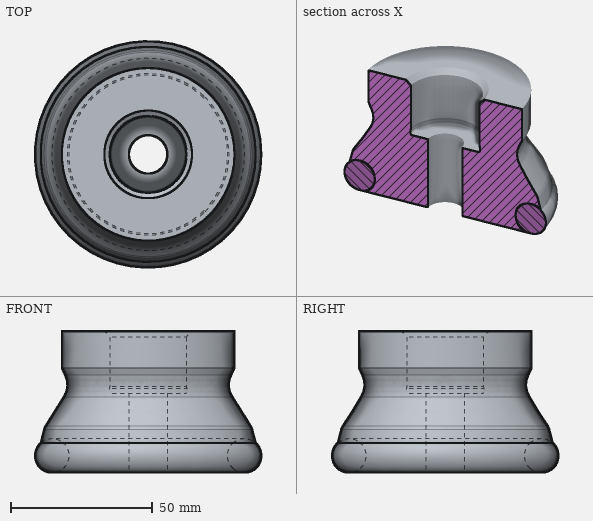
import cadquery as cq
import math

height = 50.0
head_radius = 61.0 / 2

ring_section_radius = 6.0
ring_outer_radius = 80.0 / 2
ring_centre_radius = ring_outer_radius - ring_section_radius
ring_centre_height = ring_section_radius

head_bottom = 37.0
neck_radius = 27.4
neck_height = 30.5
shoulder_radius = 36.55
shoulder_height = 15.9
skirt_angle = 15.0
skirt_drop = shoulder_height - ring_centre_height
skirt_foot_radius = shoulder_radius + skirt_drop * math.tan(math.radians(skirt_angle))

head_fillet = 1.0
neck_fillet = 8.0
shoulder_fillet = 5.0

bore_radius = 27.0 / 2
bore_depth = 22.0
mouth_chamfer = 2.0
relief_radius = 27.5 / 2
relief_width = 2.5
relief_taper_length = 0.75
floor_fillet = 0.75
through_hole_radius = 13.5 / 2


def circle_edge_at(edge_height):
    """Selector for the horizontal circular edge at one height of the profile."""
    margin = 0.01
    reach = ring_outer_radius
    lower_corner = (-reach, -reach, edge_height - margin)
    upper_corner = (reach, reach, edge_height + margin)
    return cq.selectors.BoxSelector(lower_corner, upper_corner)


def make_ring():
    """Round-section ring about the Z axis, resting on the base plane."""
    return (
        cq.Workplane("XZ")
        .center(ring_centre_radius, ring_centre_height)
        .circle(ring_section_radius)
        .revolve(360, (-ring_centre_radius, 0), (-ring_centre_radius, 1))
    )


def make_blank():
    """Turned outside of the housing, with its corners rounded."""
    blank = (
        cq.Workplane("XZ")
        .lineTo(ring_centre_radius, 0)
        .lineTo(ring_centre_radius, ring_centre_height)
        .lineTo(skirt_foot_radius, ring_centre_height)
        .lineTo(shoulder_radius, shoulder_height)
        .lineTo(neck_radius, neck_height)
        .lineTo(head_radius, head_bottom)
        .lineTo(head_radius, height)
        .lineTo(0, height)
        .close()
        .revolve(360, (0, 0), (0, 1))
    )
    rounded_corners = [
        (shoulder_height, shoulder_fillet),
        (neck_height, neck_fillet),
        (head_bottom, head_fillet),
    ]
    for corner_height, radius in rounded_corners:
        blank = blank.edges("%CIRCLE").edges(circle_edge_at(corner_height)).fillet(radius)
    return blank


def make_bore():
    """Solid to cut away: chamfered mouth, bore with floor relief, and a smaller through hole."""
    floor_height = height - bore_depth
    relief_top = floor_height + relief_width
    fillet_centre_radius = relief_radius - floor_fillet
    fillet_centre_height = floor_height + floor_fillet
    fillet_midpoint = (
        fillet_centre_radius + floor_fillet * math.cos(math.radians(45)),
        fillet_centre_height - floor_fillet * math.sin(math.radians(45)),
    )
    return (
        cq.Workplane("XZ")
        .lineTo(through_hole_radius, 0)
        .lineTo(through_hole_radius, floor_height)
        .lineTo(fillet_centre_radius, floor_height)
        .threePointArc(fillet_midpoint, (relief_radius, fillet_centre_height))
        .lineTo(relief_radius, relief_top - relief_taper_length)
        .lineTo(bore_radius, relief_top)
        .lineTo(bore_radius, height - mouth_chamfer)
        .lineTo(bore_radius + mouth_chamfer, height)
        .lineTo(0, height)
        .close()
        .revolve(360, (0, 0), (0, 1))
    )


ring = make_ring()
housing = make_blank().cut(make_bore()).cut(ring)

result = cq.Compound.makeCompound([housing.solids().val(), ring.val()])